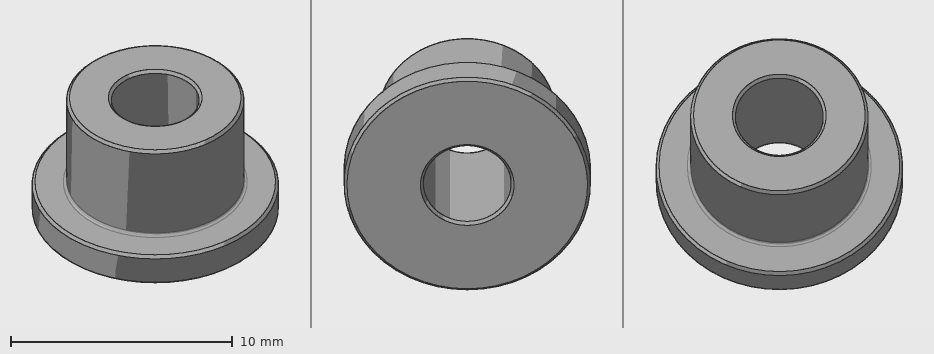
import cadquery as cq

flange_diameter = 11.11
flange_thickness = 1.59
barrel_diameter = 8.0
bore_diameter = 3.95
total_height = 6.35
edge_chamfer = 0.13
root_fillet = 0.14


def disc(diameter, height):
    """Solid cylinder standing on Z = 0."""
    return cq.Workplane("XY").circle(diameter / 2).extrude(height)


def root_edge():
    """Selector for the circle where the barrel meets the flange's upper face."""
    reach = barrel_diameter / 2 + edge_chamfer
    return cq.selectors.BoxSelector(
        (-reach, -reach, flange_thickness - edge_chamfer / 2),
        (reach, reach, flange_thickness + edge_chamfer / 2),
        boundingbox=True,
    )


flange = disc(flange_diameter, flange_thickness).faces("<Z or >Z").edges().chamfer(edge_chamfer)

barrel = disc(barrel_diameter, total_height).faces(">Z").edges().chamfer(edge_chamfer)

body = flange.union(barrel).edges(root_edge()).fillet(root_fillet)

body = body.cut(disc(bore_diameter, total_height))
bore_mouths = body.faces("<Z or >Z").edges(cq.selectors.RadiusNthSelector(0))
result = bore_mouths.chamfer(edge_chamfer)